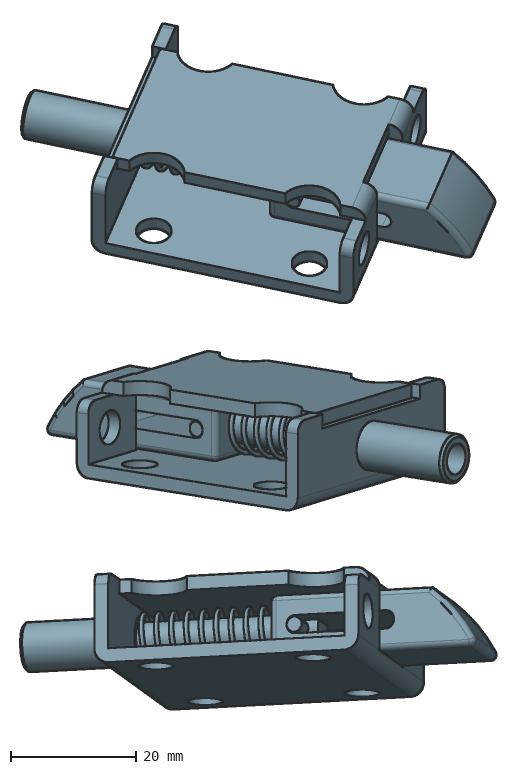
import cadquery as cq
import math


HOUSING_LENGTH = 43.7
HOUSING_WIDTH = 40.0
HOUSING_HEIGHT = 14.8
SHEET = 2.3
BEND_RADIUS = SHEET
WALL_CORNER_RADIUS = 2.0
LID_WIDTH = 26.25
LID_START_X = 1.4
LID_CORNER_RADIUS = 0.5
NOTCH_SIDE_GAP = 0.1
MOUNT_HOLE_DIAMETER = 5.65
MOUNT_SPACING_X = 26.0
MOUNT_SPACING_Y = 30.0
LID_CUTOUT_DIAMETER = 9.9
WALL_HOLE_DIAMETER = 5.6
WALL_HOLE_Y = 14.1

LID_UNDERSIDE = HOUSING_HEIGHT - SHEET
FRONT_WALL_X = HOUSING_LENGTH - SHEET

BOLT_START_X = 25.55
BOLT_WIDTH = 14.0
BOLT_BOTTOM = SHEET
BOLT_HEIGHT = 10.0
BOLT_TOP = BOLT_BOTTOM + BOLT_HEIGHT
AXIS_Z = BOLT_BOTTOM + BOLT_HEIGHT / 2
BOLT_EDGE_RADIUS = 1.0
NOSE_TOP_X = 52.3
NOSE_MIDDLE = (56.3, 8.3)
NOSE_TIP_X = 60.1
SLOT_HEIGHT = 3.0
SLOT_START_X = 28.3
SLOT_END_X = 46.1

ROD_START_X = -16.8
ROD_END_X = 32.4
HANDLE_DIAMETER = 8.0
HANDLE_CHAMFER = 0.45
HANDLE_BORE_DIAMETER = 5.0
HANDLE_BORE_DEPTH = 7.6
ROD_DIAMETER = 6.0

PIN_DIAMETER = 2.5
PIN_X = SLOT_START_X + PIN_DIAMETER / 2

WIRE_DIAMETER = 0.8
SPRING_OUTER_DIAMETER = 9.3
SPRING_TURNS = 9.1
SPRING_LEAD_ANGLE = 39.0


def block(x_start, x_end, width, z_start, z_end):
    """Box centred on Y = 0."""
    size = (x_end - x_start, width, z_end - z_start)
    corner = (x_start, -width / 2, z_start)
    return cq.Workplane("XY").box(*size, centered=False).translate(corner)


def cylinder_x(diameter, x_start, x_end):
    """Cylinder on the rod axis."""
    plane = cq.Workplane("YZ", origin=(x_start, 0, AXIS_Z))
    return plane.circle(diameter / 2).extrude(x_end - x_start)


def mount_pattern(diameter, z_start, z_end):
    """Four upright cylinders at the mounting positions."""
    plane = cq.Workplane("XY", origin=(HOUSING_LENGTH / 2, 0, z_start))
    points = plane.rarray(MOUNT_SPACING_X, MOUNT_SPACING_Y, 2, 2)
    return points.circle(diameter / 2).extrude(z_end - z_start)


def make_wall(x_start, height):
    """Upright wall with rounded upper corners."""
    wall = block(x_start, x_start + SHEET, HOUSING_WIDTH, 0, height)
    return wall.edges("|X and >Z").fillet(WALL_CORNER_RADIUS)


def make_lid():
    """Lid with a tongue end at the rear and clearance cutouts over the mounting holes."""
    lid = (
        cq.Workplane("XZ")
        .moveTo(LID_START_X, LID_UNDERSIDE)
        .lineTo(LID_START_X, HOUSING_HEIGHT)
        .lineTo(FRONT_WALL_X, HOUSING_HEIGHT)
        .radiusArc((HOUSING_LENGTH, LID_UNDERSIDE), BEND_RADIUS)
        .close()
        .extrude(LID_WIDTH / 2, both=True)
    )
    lid = lid.edges("|Z and <X").fillet(LID_CORNER_RADIUS)
    return lid.cut(mount_pattern(LID_CUTOUT_DIAMETER, LID_UNDERSIDE, HOUSING_HEIGHT))


def make_housing():
    base = block(0, HOUSING_LENGTH, HOUSING_WIDTH, 0, SHEET)
    rear_wall = make_wall(0, HOUSING_HEIGHT)
    notch_width = LID_WIDTH + 2 * NOTCH_SIDE_GAP
    tongue_notch = block(0, SHEET, notch_width, LID_UNDERSIDE, HOUSING_HEIGHT)
    rear_wall = rear_wall.cut(tongue_notch)
    front_wall = make_wall(FRONT_WALL_X, LID_UNDERSIDE)

    housing = base.union(rear_wall).union(front_wall)
    housing = housing.edges("|Y and <Z").fillet(BEND_RADIUS)
    housing = housing.union(make_lid())
    housing = housing.cut(mount_pattern(MOUNT_HOLE_DIAMETER, 0, SHEET))

    bolt_opening = block(FRONT_WALL_X, HOUSING_LENGTH, BOLT_WIDTH, BOLT_BOTTOM, HOUSING_HEIGHT)
    housing = housing.cut(bolt_opening)

    side_holes = (
        cq.Workplane("YZ", origin=(FRONT_WALL_X, 0, AXIS_Z))
        .pushPoints([(-WALL_HOLE_Y, 0), (WALL_HOLE_Y, 0)])
        .circle(WALL_HOLE_DIAMETER / 2)
        .extrude(SHEET)
    )
    return housing.cut(side_holes).cut(cylinder_x(HANDLE_DIAMETER, 0, SHEET))


def make_rod():
    handle = cylinder_x(HANDLE_DIAMETER, ROD_START_X, SHEET)
    handle = handle.faces("<X").chamfer(HANDLE_CHAMFER)
    bore = cylinder_x(HANDLE_BORE_DIAMETER, ROD_START_X, ROD_START_X + HANDLE_BORE_DEPTH)
    rod = handle.cut(bore).union(cylinder_x(ROD_DIAMETER, SHEET, ROD_END_X))
    return rod.cut(make_pin())


def make_pin():
    plane = cq.Workplane("XZ", origin=(PIN_X, 0, AXIS_Z))
    return plane.circle(PIN_DIAMETER / 2).extrude(BOLT_WIDTH / 2, both=True)


def make_bolt():
    bolt = (
        cq.Workplane("XZ")
        .moveTo(BOLT_START_X, BOLT_BOTTOM)
        .lineTo(BOLT_START_X, BOLT_TOP)
        .lineTo(NOSE_TOP_X, BOLT_TOP)
        .threePointArc(NOSE_MIDDLE, (NOSE_TIP_X, BOLT_BOTTOM))
        .close()
        .extrude(BOLT_WIDTH / 2, both=True)
    )
    nose_top_edge = cq.selectors.NearestToPointSelector((NOSE_TOP_X, 0, BOLT_TOP))
    rounded_edges = cq.selectors.InverseSelector(nose_top_edge)
    bolt = bolt.edges(rounded_edges).fillet(BOLT_EDGE_RADIUS)

    slot_length = SLOT_END_X - SLOT_START_X
    slot = (
        cq.Workplane("XZ", origin=((SLOT_START_X + SLOT_END_X) / 2, 0, AXIS_Z))
        .slot2D(slot_length, SLOT_HEIGHT)
        .extrude(BOLT_WIDTH / 2, both=True)
    )
    return bolt.cut(slot).cut(cylinder_x(ROD_DIAMETER, BOLT_START_X, ROD_END_X))


def make_spring():
    """Right-handed coil between the rear wall and the bolt."""
    coil_radius = (SPRING_OUTER_DIAMETER - WIRE_DIAMETER) / 2
    start_x = SHEET + WIRE_DIAMETER / 2
    length = BOLT_START_X - start_x - WIRE_DIAMETER / 2
    pitch = length / SPRING_TURNS
    helix = cq.Wire.makeHelix(pitch, length, coil_radius)
    start_direction = (0, 2 * math.pi * coil_radius, pitch)
    profile = cq.Workplane(cq.Plane((coil_radius, 0, 0), (1, 0, 0), start_direction))
    coil = profile.circle(WIRE_DIAMETER / 2).sweep(cq.Workplane(helix), isFrenet=True)
    coil = coil.rotate((0, 0, 0), (0, 1, 0), 90)
    coil = coil.rotate((0, 0, 0), (1, 0, 0), 180 - SPRING_LEAD_ANGLE)
    return coil.translate((start_x, 0, AXIS_Z))


housing = make_housing().solids().val()
bolt = make_bolt().solids().val()
rod = make_rod().solids().val()
pin = make_pin().solids().val()
spring = make_spring().solids().val()

result = cq.Compound.makeCompound([housing, bolt, rod, pin, spring])